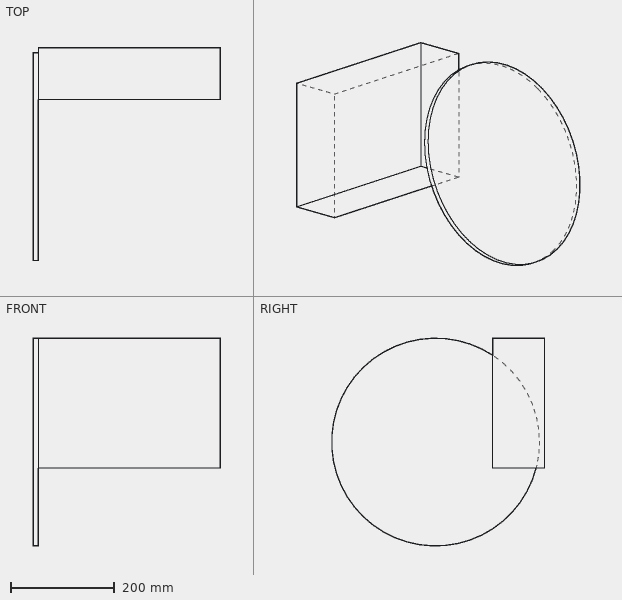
import cadquery as cq

disc_diameter = 400
disc_thickness = 10
block_length = 350
block_width = 100
block_height = 250
block_overhang = 10

disc_radius = disc_diameter / 2
block_y_min = disc_radius + block_overhang - block_width
block_z_min = disc_radius - block_height


def make_disc():
    """Thin round disc with its axis along X."""
    return cq.Workplane("YZ").circle(disc_radius).extrude(disc_thickness)


def make_block():
    """Plain rectangular block seated against the inner face of the disc."""
    return (
        cq.Workplane("XY")
        .box(block_length, block_width, block_height, centered=False)
        .translate((disc_thickness, block_y_min, block_z_min))
    )


disc = make_disc()
block = make_block()

result = cq.Compound.makeCompound([disc.val(), block.val()])